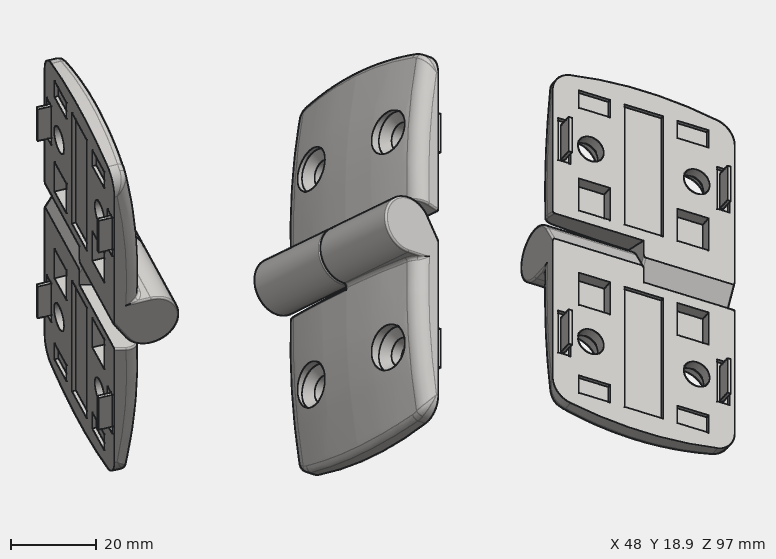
import cadquery as cq
import math


WIDTH = 48.0
HALF_WIDTH = WIDTH / 2
LEAF_LENGTH = 48.5
END_RADIUS = 98.9
CORNER_RADIUS = 5.7

CROWN_HEIGHT = 8.05
CROWN_START = 14.0
LENGTH_RADIUS = 163.0
CROSS_RADIUS = 174.6
SIDE_ROUND = 3.9
END_ROUND = 1.6

KNUCKLE_RADIUS = 7.0
KNUCKLE_AXIS_Y = 16.0 - KNUCKLE_RADIUS
KNUCKLE_ROUND = 0.5
KNUCKLE_FOOT = 1.3
RELIEF_FOOT = 5.9
RELIEF_SLOPE = 15.0
RELIEF_ROUND = 0.5
BLEND_RADIUS = 0.8

HOLE_X = 14.0
HOLE_Z = 27.4
HOLE_DIAMETER = 6.8
HEAD_DIAMETER = 11.0
COUNTERSINK_START = 3.0
COUNTERSINK_SLOPE = 45.0

POCKET_OUTER_Z = 43.0
POCKET_INNER_Z = 8.8
SHALLOW_DEPTH = 1.0
DEEP_DEPTH = 3.0
CENTRE_POCKET_WIDTH = 10.2
SIDE_POCKET_WIDTH = 8.2
SIDE_POCKET_X = 13.0
OUTER_POCKET_LENGTH = 4.9
INNER_POCKET_LENGTH = 9.1

TAB_X = 21.0
TAB_THICKNESS = 0.9
TAB_LENGTH = 9.8
TAB_REACH = 2.9
SLOT_WIDTH = 3.3
SLOT_LENGTH = 11.9

SIDES = (-1, 1)


def box(x, z, width, length, y_from, y_to):
    """A block centred on (x, z), between two Y levels."""
    depth = y_to - y_from
    return cq.Workplane("XY").box(width, depth, length).translate((x, y_from + depth / 2, z))


def outline_prism():
    """The leaf's face outline, with a bowed end and round corners, thicker than the leaf."""
    corner_x = HALF_WIDTH - CORNER_RADIUS
    end_centre_z = LEAF_LENGTH - END_RADIUS
    to_corner = END_RADIUS - CORNER_RADIUS
    corner_z = end_centre_z + math.sqrt(to_corner**2 - corner_x**2)
    join_x = corner_x * END_RADIUS / to_corner
    join_z = end_centre_z + (corner_z - end_centre_z) * END_RADIUS / to_corner
    lean = (math.pi / 2 - math.asin(corner_x / to_corner)) / 2
    mid_x = corner_x + CORNER_RADIUS * math.cos(lean)
    mid_z = corner_z + CORNER_RADIUS * math.sin(lean)
    return (
        cq.Workplane("XZ")
        .moveTo(-HALF_WIDTH, RELIEF_FOOT)
        .lineTo(HALF_WIDTH, RELIEF_FOOT)
        .lineTo(HALF_WIDTH, corner_z)
        .threePointArc((mid_x, mid_z), (join_x, join_z))
        .threePointArc((0, LEAF_LENGTH), (-join_x, join_z))
        .threePointArc((-mid_x, mid_z), (-HALF_WIDTH, corner_z))
        .close()
        .extrude(-2 * CROWN_HEIGHT)
    )


def dome():
    """The crowned cross-section with rounded sides, swept along the arc of the leaf's length."""
    round_x = HALF_WIDTH - SIDE_ROUND
    cross_centre_y = CROWN_HEIGHT - CROSS_RADIUS
    to_round = CROSS_RADIUS - SIDE_ROUND
    round_y = cross_centre_y + math.sqrt(to_round**2 - round_x**2)
    join_x = round_x * CROSS_RADIUS / to_round
    join_y = cross_centre_y + (round_y - cross_centre_y) * CROSS_RADIUS / to_round
    lean = (math.pi / 2 - math.asin(round_x / to_round)) / 2
    mid_x = round_x + SIDE_ROUND * math.cos(lean)
    mid_y = round_y + SIDE_ROUND * math.sin(lean)
    bottom_y = -CROWN_HEIGHT
    axis_y = CROWN_HEIGHT - LENGTH_RADIUS
    sweep = 40
    return (
        cq.Workplane("XY")
        .moveTo(-HALF_WIDTH, bottom_y)
        .lineTo(HALF_WIDTH, bottom_y)
        .lineTo(HALF_WIDTH, round_y)
        .threePointArc((mid_x, mid_y), (join_x, join_y))
        .threePointArc((0, CROWN_HEIGHT), (-join_x, join_y))
        .threePointArc((-mid_x, mid_y), (-HALF_WIDTH, round_y))
        .close()
        .revolve(sweep, (0, axis_y), (1, axis_y))
        .rotate((0, axis_y, 0), (1, axis_y, 0), -sweep / 2)
        .translate((0, 0, CROWN_START))
    )


def relief():
    """The space for the other leaf's knuckle: all that lies below a sloping plane on the -X half."""
    reach = 2 * CROWN_HEIGHT
    return (
        cq.Workplane("YZ")
        .moveTo(0, 0)
        .lineTo(0, RELIEF_FOOT)
        .lineTo(reach, RELIEF_FOOT + reach * math.tan(math.radians(RELIEF_SLOPE)))
        .lineTo(reach, 0)
        .close()
        .extrude(-WIDTH)
    )


def plate():
    """The domed leaf with its end edge rounded and the relief taken out."""
    body = outline_prism().intersect(dome())
    rim = cq.selectors.BoxSelector(
        (-HALF_WIDTH, 1, 41.7), (HALF_WIDTH, CROWN_HEIGHT, LEAF_LENGTH + 1)
    )
    body = body.edges(rim).fillet(END_ROUND)
    return body.cut(relief())


def knuckle():
    """A barrel over the +X half, with a flat running from its tangent to the mounting face."""
    reach = math.hypot(KNUCKLE_AXIS_Y, KNUCKLE_FOOT)
    flat_length = math.sqrt(reach**2 - KNUCKLE_RADIUS**2)
    slope = math.atan2(KNUCKLE_FOOT, KNUCKLE_AXIS_Y) + math.asin(KNUCKLE_RADIUS / reach)
    tangent_y = flat_length * math.cos(slope)
    tangent_z = KNUCKLE_FOOT - flat_length * math.sin(slope)
    body = (
        cq.Workplane("YZ")
        .moveTo(0, KNUCKLE_RADIUS)
        .lineTo(0, KNUCKLE_FOOT)
        .lineTo(tangent_y, tangent_z)
        .threePointArc((KNUCKLE_AXIS_Y + KNUCKLE_RADIUS, 0), (KNUCKLE_AXIS_Y, KNUCKLE_RADIUS))
        .close()
        .extrude(HALF_WIDTH)
    )
    foot_to_barrel = cq.selectors.BoxSelector(
        (-1, 0, tangent_z), (HALF_WIDTH + 1, tangent_y, KNUCKLE_FOOT)
    )
    flat = body.edges(foot_to_barrel).edges("not |X")
    return body.newObject(flat.vals() + body.edges("%CIRCLE").vals()).fillet(KNUCKLE_ROUND)


def pockets():
    """The centre recess, the four side pockets and the two tab slots."""
    length = POCKET_OUTER_Z - POCKET_INNER_Z
    cut = box(0, POCKET_INNER_Z + length / 2, CENTRE_POCKET_WIDTH, length, 0, SHALLOW_DEPTH)
    for side in SIDES:
        x = side * SIDE_POCKET_X
        outer_z = POCKET_OUTER_Z - OUTER_POCKET_LENGTH / 2
        inner_z = POCKET_INNER_Z + INNER_POCKET_LENGTH / 2
        cut = cut.union(box(x, outer_z, SIDE_POCKET_WIDTH, OUTER_POCKET_LENGTH, 0, SHALLOW_DEPTH))
        cut = cut.union(box(x, inner_z, SIDE_POCKET_WIDTH, INNER_POCKET_LENGTH, 0, DEEP_DEPTH))
        cut = cut.union(box(side * TAB_X, HOLE_Z, SLOT_WIDTH, SLOT_LENGTH, 0, SHALLOW_DEPTH))
    return cut


def tabs():
    """Thin tabs that rise from the slot floors and stand out of the mounting face."""
    return [
        box(side * TAB_X, HOLE_Z, TAB_THICKNESS, TAB_LENGTH, -TAB_REACH, SHALLOW_DEPTH)
        for side in SIDES
    ]


def screw_holes():
    """Through holes with a countersink that opens into a straight recess for the screw head."""
    reach = 2 * CROWN_HEIGHT
    hole_radius = HOLE_DIAMETER / 2
    head_radius = HEAD_DIAMETER / 2
    cone_length = (head_radius - hole_radius) / math.tan(math.radians(COUNTERSINK_SLOPE))
    cone_end = COUNTERSINK_START + cone_length
    half_profile = (
        cq.Workplane("XY")
        .lineTo(hole_radius, 0)
        .lineTo(hole_radius, COUNTERSINK_START)
        .lineTo(head_radius, cone_end)
        .lineTo(head_radius, reach)
        .lineTo(0, reach)
        .close()
    )
    hole = half_profile.revolve(360, (0, 0), (0, 1))
    return [hole.translate((side * HOLE_X, 0, HOLE_Z)) for side in SIDES]


def round_relief_edge(body):
    """Rounds the edge where the relief plane leaves the dome."""
    relief_edge = cq.selectors.BoxSelector(
        (-HALF_WIDTH - 1, 2.76, 6.6), (0, CROWN_HEIGHT, CROWN_HEIGHT + 0.1)
    )
    return body.edges(relief_edge).fillet(RELIEF_ROUND)


def blend_knuckle(body):
    """Fills the inside corner between the dome and the knuckle."""
    corner = cq.selectors.BoxSelector(
        (KNUCKLE_ROUND / 2, 2.7, 6.6), (HALF_WIDTH + 1, 8.7, KNUCKLE_RADIUS + 0.1)
    )
    return body.edges(corner).fillet(BLEND_RADIUS)


def leaf():
    """One complete hinge leaf, with its knuckle over the +X half."""
    body = plate().union(knuckle())
    body = blend_knuckle(body)
    body = round_relief_edge(body)
    body = body.cut(pockets())
    for hole in screw_holes():
        body = body.cut(hole)
    for tab in tabs():
        body = body.union(tab)
    return body


upper_leaf = leaf()
lower_leaf = upper_leaf.rotate((0, 0, 0), (0, 1, 0), 180)

result = cq.Compound.makeCompound([upper_leaf.val(), lower_leaf.val()])